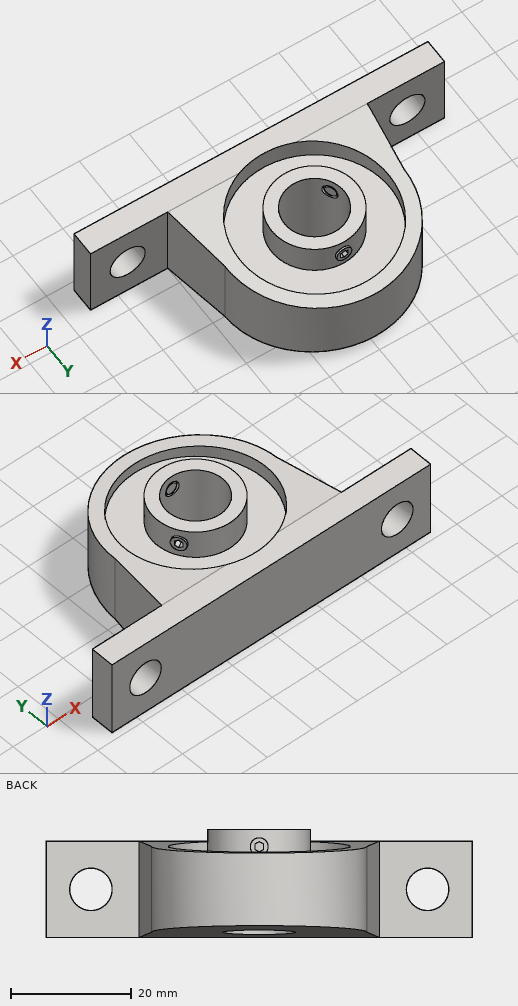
import cadquery as cq
import math

base_length = 71.0
base_thickness = 5.0
base_height = 16.05
bolt_spacing = 56.1
bolt_hole_diameter = 7.0

depth_overall = 37.0
bore_y = 19.0
housing_radius = depth_overall - bore_y
housing_root_width = 40.05
housing_end_height = 12.1
housing_mid_z = base_height / 2

seat_diameter = 30.3
seat_floor_z = 12.1
ring_diameter = 17.2
ring_top_z = 18.0
bore_diameter = 12.0

screw_diameter = 3.0
screw_z = 15.1
screw_angles = (90, 210)
screw_outer_reach = 8.95
screw_inner_reach = 6.0
screw_tip_chamfer = 0.35
socket_width = 1.5
socket_depth = 1.4


def make_base():
    plate = cq.Workplane("XY").box(
        base_length, base_thickness, base_height, centered=(True, False, False)
    )
    holes = (
        cq.Workplane("XZ")
        .pushPoints([(-bolt_spacing / 2, housing_mid_z), (bolt_spacing / 2, housing_mid_z)])
        .circle(bolt_hole_diameter / 2)
        .extrude(-base_thickness)
    )
    return plate.cut(holes)


def make_housing():
    half_root = housing_root_width / 2
    outline = (
        cq.Workplane("XY")
        .moveTo(-half_root, base_thickness)
        .lineTo(half_root, base_thickness)
        .lineTo(housing_radius, bore_y)
        .threePointArc((0, depth_overall), (-housing_radius, bore_y))
        .close()
        .extrude(base_height)
    )
    end_drop = (base_height - housing_end_height) / 2
    side_taper = (
        cq.Workplane("YZ")
        .polyline([
            (base_thickness, 0),
            (depth_overall, end_drop),
            (depth_overall, base_height - end_drop),
            (base_thickness, base_height),
        ])
        .close()
        .extrude(half_root, both=True)
    )
    return outline.intersect(side_taper)


def cylinder_at_bore(diameter, bottom_z, top_z):
    return (
        cq.Workplane("XY", origin=(0, bore_y, bottom_z))
        .circle(diameter / 2)
        .extrude(top_z - bottom_z)
    )


def make_set_screw(angle):
    """Radial screw with a hexagon socket and a chamfered tip at the bore."""
    radial = cq.Vector(math.cos(math.radians(angle)), math.sin(math.radians(angle)), 0)
    center = cq.Vector(0, bore_y, screw_z)

    def plane_at(radius):
        return cq.Workplane(cq.Plane(center + radial * radius, (0, 0, 1), radial))

    screw_length = screw_outer_reach - screw_inner_reach
    body = plane_at(screw_inner_reach).circle(screw_diameter / 2).extrude(screw_length)
    body = body.faces(cq.selectors.NearestToPointSelector(center.toTuple())).chamfer(screw_tip_chamfer)
    socket_corner_diameter = socket_width / math.cos(math.pi / 6)
    socket = plane_at(screw_outer_reach).polygon(6, socket_corner_diameter).extrude(-socket_depth)
    return body.cut(socket)


result = make_base().union(make_housing())
result = result.cut(cylinder_at_bore(seat_diameter, seat_floor_z, ring_top_z))
result = result.union(cylinder_at_bore(ring_diameter, seat_floor_z, ring_top_z))
result = result.cut(cylinder_at_bore(bore_diameter, 0, ring_top_z))
for screw_angle in screw_angles:
    screw = make_set_screw(screw_angle)
    screw_hole = (
        cq.Workplane("XY", origin=(0, bore_y, screw_z))
        .transformed(rotate=(0, 0, screw_angle))
        .transformed(rotate=(0, 90, 0))
        .circle(screw_diameter / 2)
        .extrude(screw_outer_reach)
    )
    result = result.cut(screw_hole).union(screw)